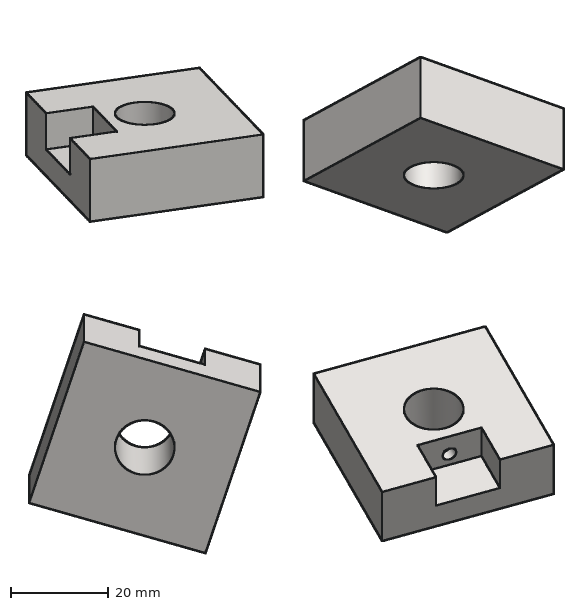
import cadquery as cq

side = 38.0
height = 14.0

bore_diameter = 12.25

pocket_width = 14.15
pocket_length = 10.25
pocket_depth = 8.05

cross_hole_diameter = 3.0
cross_hole_drop = 5.0

pocket_end_y = -side / 2 + pocket_length


def make_block():
    return cq.Workplane("XY").box(side, side, height, centered=(True, True, False))


def make_bore():
    return cq.Workplane("XY").circle(bore_diameter / 2).extrude(height)


def make_pocket():
    return (
        cq.Workplane("XY")
        .box(pocket_width, pocket_length, pocket_depth, centered=(True, False, False))
        .translate((0, -side / 2, height - pocket_depth))
    )


def make_cross_hole():
    return (
        cq.Workplane("XZ", origin=(0, pocket_end_y, height - cross_hole_drop))
        .circle(cross_hole_diameter / 2)
        .extrude(pocket_end_y)
    )


result = make_block().cut(make_bore()).cut(make_pocket()).cut(make_cross_hole())